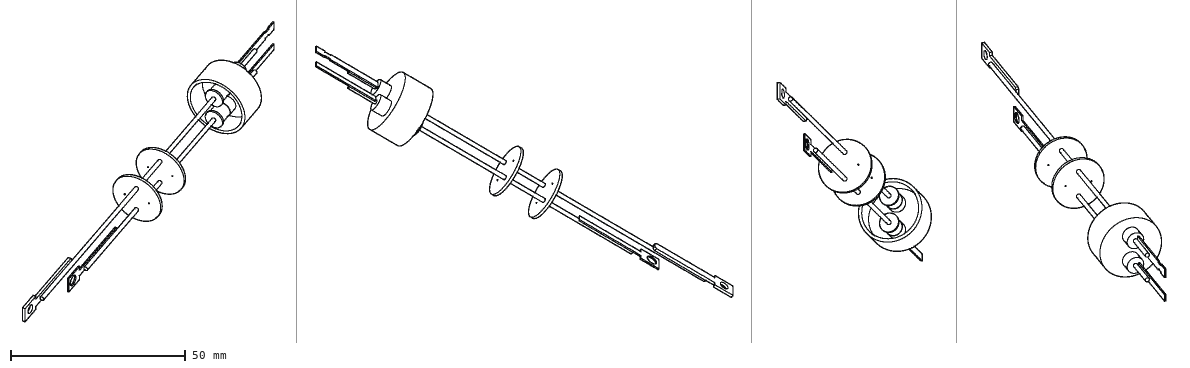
import cadquery as cq


overall_length = 145.16

body_diameter = 19.0
body_length = 9.7
cavity_diameter = 17.0
cavity_depth = 7.0

conductor_offset = 4.0
rod_diameter = 1.3
rod_radius = rod_diameter / 2
rod_back = 22.8

sleeve_diameter = 5.1
sleeve_nose_diameter = 4.9
sleeve_shoulder = 3.8
sleeve_front = -1.3
sleeve_back = 13.4
flange_diameter = 5.7
flange_thickness = 0.6

disc_diameter = 15.8
disc_thickness = 0.9
disc_centres = (-32.2, -45.8)
pinhole_diameter = 0.3
pinhole_offset = 4.0

strip_thickness = 0.4
thick_strip_thickness = 0.85
strip_overlap = 0.05
wide_strip_width = 2.8
narrow_strip_width = 2.1

strip_back = 34.9
narrow_strip_start = 14.1
wide_strip_embed = 1.0
notch_centre = 30.85
notch_length = 1.9
notch_depth = 0.4

upper_terminal_tip = strip_back - overall_length
lower_terminal_tip = -84.75
upper_terminal_length = 27.3
lower_terminal_length = 27.7
head_length = 6.3
head_width = 5.0
upper_hole_from_tip = 3.1
lower_hole_from_tip = 2.5
upper_hole_diameter = 2.6
lower_hole_diameter = 3.2
terminal_start_chamfer = 0.6
rod_end_to_head = 2.4


def cylinder(diameter, y_start, y_end, x=0, z=0):
    """Solid cylinder along Y between two stations."""
    axis_start = cq.Vector(x, y_start, z)
    axis = cq.Vector(0, 1, 0)
    return cq.Workplane(cq.Solid.makeCylinder(diameter / 2, y_end - y_start, axis_start, axis))


def strip(y_start, y_end, width, thickness, z):
    """Flat strip along Y joined to the -X side of the rod."""
    inner_x = -rod_radius + strip_overlap
    outer_x = -rod_radius - thickness
    centre = ((inner_x + outer_x) / 2, (y_start + y_end) / 2, z)
    return cq.Workplane("XY").box(inner_x - outer_x, y_end - y_start, width).translate(centre)


def make_body():
    cup = cylinder(body_diameter, 0, body_length)
    return cup.cut(cylinder(cavity_diameter, 0, cavity_depth))


def make_sleeve(z):
    barrel = cylinder(sleeve_diameter, sleeve_shoulder, sleeve_back, z=z)
    nose = cylinder(sleeve_nose_diameter, sleeve_front, sleeve_shoulder, z=z)
    flange = cylinder(flange_diameter, sleeve_front, sleeve_front + flange_thickness, z=z)
    return barrel.union(nose).union(flange)


def make_disc(y_centre):
    y_start = y_centre - disc_thickness / 2
    y_end = y_centre + disc_thickness / 2
    disc = cylinder(disc_diameter, y_start, y_end)
    for x in (-pinhole_offset, pinhole_offset):
        disc = disc.cut(cylinder(pinhole_diameter, y_start, y_end, x=x))
    return disc


def make_terminal(tip, length, strip_width, thickness, hole_diameter, hole_from_tip, z):
    """Front strip ending in a wider head with a cross hole."""
    shank = strip(tip, tip + length, strip_width, thickness, z)
    head = strip(tip, tip + head_length, head_width, thickness, z)
    hole = cq.Workplane("YZ").center(tip + hole_from_tip, z).circle(hole_diameter / 2)
    return shank.union(head).cut(hole.extrude(head_width, both=True))


def make_rod(terminal_tip, z):
    return cylinder(rod_diameter, terminal_tip + head_length + rod_end_to_head, rod_back, z=z)


def make_upper_conductor():
    z = conductor_offset
    terminal = make_terminal(
        upper_terminal_tip,
        upper_terminal_length,
        wide_strip_width,
        thick_strip_thickness,
        upper_hole_diameter,
        upper_hole_from_tip,
        z,
    )
    terminal = terminal.faces(">Y").edges("|X").chamfer(terminal_start_chamfer)
    back = strip(sleeve_back - wide_strip_embed, strip_back, wide_strip_width, strip_thickness, z)
    notch = cq.Workplane("XY").box(wide_strip_width, notch_length, 2 * notch_depth)
    for side in (-1, 1):
        back = back.cut(notch.translate((0, notch_centre, z + side * wide_strip_width / 2)))
    return make_rod(upper_terminal_tip, z).union(terminal).union(back)


def make_lower_conductor():
    z = -conductor_offset
    terminal = make_terminal(
        lower_terminal_tip,
        lower_terminal_length,
        narrow_strip_width,
        strip_thickness,
        lower_hole_diameter,
        lower_hole_from_tip,
        z,
    )
    back = strip(narrow_strip_start, strip_back, narrow_strip_width, strip_thickness, z)
    return make_rod(lower_terminal_tip, z).union(terminal).union(back)


result = make_body()
for z in (-conductor_offset, conductor_offset):
    result = result.union(make_sleeve(z))
for y in disc_centres:
    result = result.union(make_disc(y))
result = result.union(make_upper_conductor()).union(make_lower_conductor())